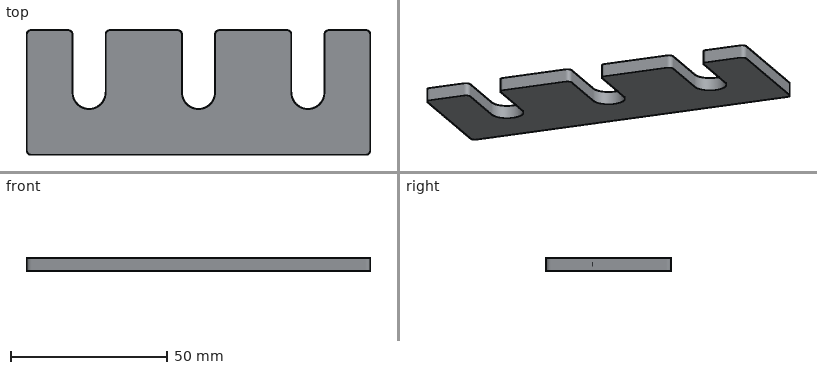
import cadquery as cq

length = 110.0
width = 40.0
thickness = 4.2
corner_radius = 1.5

slot_width = 10.5
slot_pitch = 35.0
slot_count = 3
slot_center_depth = width / 2


def make_plate():
    """Flat rectangular plate, centred on the origin in all directions."""
    return cq.Workplane("XY").box(length, width, thickness)


def make_slot(x):
    """Cutter for one round-ended slot running in from the +Y edge."""
    radius = slot_width / 2
    open_y = width / 2
    round_y = open_y - slot_center_depth
    return (
        cq.Workplane("XY")
        .workplane(offset=-thickness / 2)
        .moveTo(x - radius, open_y)
        .lineTo(x - radius, round_y)
        .threePointArc((x, round_y - radius), (x + radius, round_y))
        .lineTo(x + radius, open_y)
        .close()
        .extrude(thickness)
    )


def round_corners(plate):
    """Round the upright edges at the outer corners and the slot mouths."""
    front_corners = plate.faces("<Y").edges("|Z")
    back_corners = plate.faces(">Y").edges("|Z")
    return plate.newObject(front_corners.vals() + back_corners.vals()).fillet(corner_radius)


plate = make_plate()
for index in range(slot_count):
    slot_x = (index - (slot_count - 1) / 2) * slot_pitch
    plate = plate.cut(make_slot(slot_x))

result = round_corners(plate)